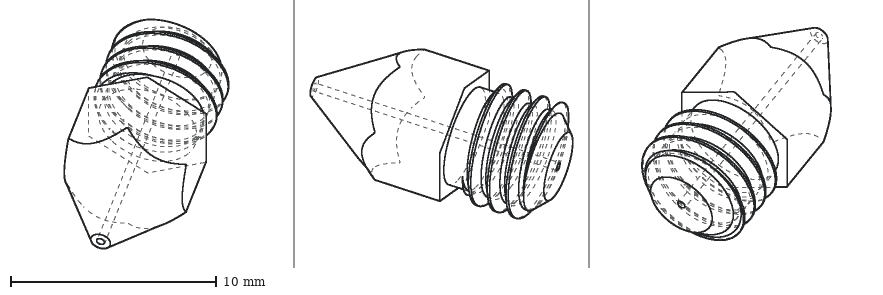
import cadquery as cq
import math


total_length = 13.0
hex_end = 8.0
thread_start = 9.0

tip_diameter = 1.0
orifice_diameter = 0.4
cone_half_angle = 33.0
hex_sides = 6
hex_across_flats = 6.0
hex_corner_radius = 0.1
hex_across_corners = hex_across_flats / math.cos(math.pi / hex_sides)

shank_diameter = 5.0
shank_chamfer = 0.75
shank_radius = shank_diameter / 2
thread_end = total_length - shank_chamfer

pitch = 1.0
flank_half_angle = 30.0
crest_width = pitch / 8
sharp_height = pitch / (2 * math.tan(math.radians(flank_half_angle)))
thread_height = 5 / 8 * sharp_height
crest_radius = shank_radius + thread_height
thread_overlap = 0.1
crest_offset = pitch / 8


def along_y(plane_y):
    """Workplane across the nozzle axis, facing +Y, with its local x along -X."""
    return cq.Workplane(cq.Plane(origin=(0, plane_y, 0), xDir=(-1, 0, 0), normal=(0, 1, 0)))


def make_hex_body():
    """Hexagonal head with corners on the Z axis, tapered to the tip by a cone."""
    section = along_y(0).transformed(rotate=(0, 0, 90)).polygon(hex_sides, hex_across_corners)
    prism = section.extrude(hex_end)
    prism = prism.edges("|Y").fillet(hex_corner_radius)

    tip_radius = tip_diameter / 2
    cone_radius = hex_across_corners / 2
    cone_length = (cone_radius - tip_radius) / math.tan(math.radians(cone_half_angle))
    envelope = (
        cq.Workplane("XY")
        .polyline([(0, 0), (tip_radius, 0), (cone_radius, cone_length), (cone_radius, hex_end), (0, hex_end)])
        .close()
        .revolve(360, (0, 0, 0), (0, 1, 0))
    )
    return prism.intersect(envelope)


def make_shank():
    """Plain cylinder behind the head with a chamfered rear end."""
    shank = along_y(hex_end).circle(shank_radius).extrude(total_length - hex_end)
    return shank.faces(">Y").chamfer(shank_chamfer)


def make_thread():
    """Right-hand helical ridge, cut off square at both ends of the threaded length."""
    helix_start = crest_offset - pitch
    thread_length = thread_end - thread_start
    helix_length = (math.ceil(thread_length / pitch) + 1) * pitch
    inner_radius = shank_radius - thread_overlap
    half_crest = crest_width / 2
    half_base = half_crest + (crest_radius - inner_radius) * math.tan(math.radians(flank_half_angle))

    helix = cq.Wire.makeHelix(pitch, helix_length, shank_radius).translate(cq.Vector(0, 0, helix_start))
    ridge = (
        cq.Workplane("XZ")
        .polyline([
            (inner_radius, helix_start - half_base),
            (crest_radius, helix_start - half_crest),
            (crest_radius, helix_start + half_crest),
            (inner_radius, helix_start + half_base),
        ])
        .close()
        .sweep(cq.Workplane(obj=helix), isFrenet=True)
    )
    ridge = ridge.rotate((0, 0, 0), (0, 0, 1), 180).rotate((0, 0, 0), (1, 0, 0), -90)
    ridge = ridge.translate((0, thread_start, 0))

    threaded_zone = along_y(thread_start).circle(hex_across_corners / 2).extrude(thread_length)
    return ridge.intersect(threaded_zone)


def make_orifice():
    """Straight bore through the whole nozzle."""
    return along_y(0).circle(orifice_diameter / 2).extrude(total_length)


result = make_shank().union(make_thread()).union(make_hex_body()).cut(make_orifice())